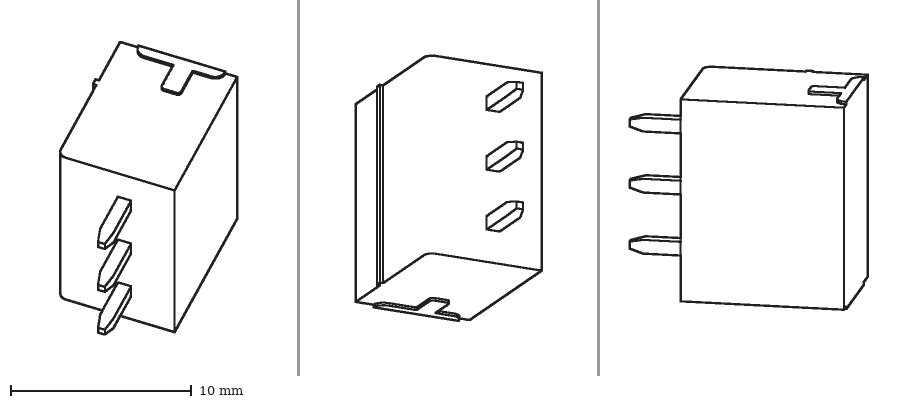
import cadquery as cq

BODY_WIDTH = 6.99
BODY_DEPTH = 9.2
BODY_HEIGHT = 11.59
CORNER_RADIUS = 0.5

RIB_HEIGHT = 0.2
RIB_WIDTH = 0.39
RIB_SETBACK = 3.11

PIN_COUNT = 3
PIN_PITCH = 3.5
PIN_SIZE = 0.8
PIN_TIP_SIZE = 0.4
PIN_LENGTH = 3.4
PIN_TIP_LENGTH = 0.8
PIN_INSET = 2.99
PIN_X = BODY_WIDTH - PIN_INSET

PAD_THICKNESS = 0.15
BAR_WIDTH = 5.2
BAR_DEPTH = 0.63
BAR_RADIUS = 0.6
BAR_INSET = 3.3
BAR_X = BODY_WIDTH - BAR_INSET
STEM_WIDTH = 1.16
STEM_REACH = 2.5
STEM_RADIUS = 0.2
STEM_X = PIN_X


def make_body():
    """Block with one rounded upright edge at the front left."""
    block = cq.Workplane("XY").box(BODY_WIDTH, BODY_DEPTH, BODY_HEIGHT, centered=(False, False, True))
    return block.edges("|Z and <X and <Y").fillet(CORNER_RADIUS)


def make_rib():
    """Full-height rib standing out from the left face."""
    rib_back = BODY_DEPTH - RIB_SETBACK
    rib = cq.Workplane("XY").box(RIB_HEIGHT, RIB_WIDTH, BODY_HEIGHT, centered=(False, False, True))
    return rib.translate((-RIB_HEIGHT, rib_back - RIB_WIDTH, 0))


def make_pad_arm(center_x, width, reach, radius):
    """Flat arm reaching forward from the back face, rounded at its front corners."""
    arm = cq.Workplane("XY").box(width, reach, PAD_THICKNESS, centered=(True, False, False))
    arm = arm.edges("|Z and <Y").fillet(radius)
    return arm.translate((center_x, BODY_DEPTH - reach, BODY_HEIGHT / 2))


def make_pad():
    """T-shaped pad on the top face."""
    bar = make_pad_arm(BAR_X, BAR_WIDTH, BAR_DEPTH, BAR_RADIUS)
    stem = make_pad_arm(STEM_X, STEM_WIDTH, STEM_REACH, STEM_RADIUS)
    return bar.union(stem)


def make_pin(center_z):
    """Square pin pointing forward, ending in a tapered tip."""
    shank_length = PIN_LENGTH - PIN_TIP_LENGTH
    base = cq.Workplane("XZ", origin=(PIN_X, 0, center_z))
    shank = base.rect(PIN_SIZE, PIN_SIZE).extrude(shank_length)
    tip = (
        base.workplane(offset=shank_length)
        .rect(PIN_SIZE, PIN_SIZE)
        .workplane(offset=PIN_TIP_LENGTH)
        .rect(PIN_TIP_SIZE, PIN_TIP_SIZE)
        .loft(ruled=True)
    )
    return shank.union(tip)


pad = make_pad()
result = make_body().union(make_rib()).union(pad).union(pad.mirror("XY"))
for index in range(PIN_COUNT):
    pin_z = (index - (PIN_COUNT - 1) / 2) * PIN_PITCH
    result = result.union(make_pin(pin_z))